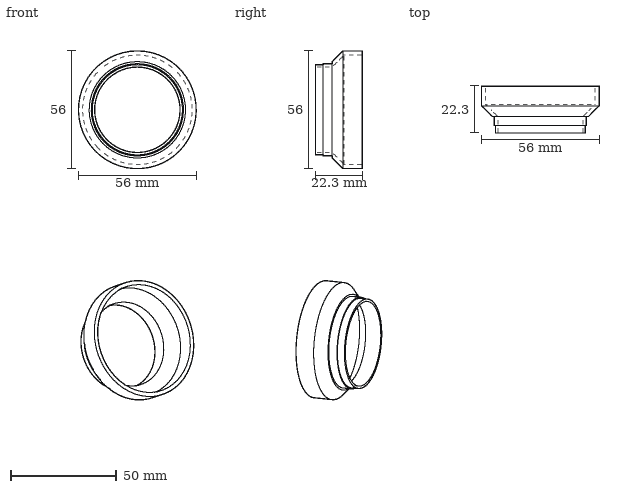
import cadquery as cq

body_diameter = 56.0
cone_front_diameter = 45.75
collar_diameter = 43.8
spigot_diameter = 42.8
bore_diameter = 40.45
socket_diameter = 52.0

total_length = 22.3
spigot_length = 3.65
collar_length = 4.25
cone_length = (body_diameter - cone_front_diameter) / 2
body_length = total_length - spigot_length - collar_length - cone_length
flare_length = (socket_diameter - bore_diameter) / 2


def cylinder(diameter, length, front_y):
    """Solid cylinder along +Y starting at front_y."""
    direction = cq.Vector(0, 1, 0)
    return cq.Workplane(cq.Solid.makeCylinder(diameter / 2, length, cq.Vector(0, front_y, 0), direction))


def cone(front_diameter, back_diameter, length, front_y):
    """Solid frustum along +Y starting at front_y."""
    direction = cq.Vector(0, 1, 0)
    start = cq.Vector(0, front_y, 0)
    return cq.Workplane(cq.Solid.makeCone(front_diameter / 2, back_diameter / 2, length, start, direction))


front_y = -total_length / 2
collar_y = front_y + spigot_length
cone_y = collar_y + collar_length
body_y = cone_y + cone_length

spigot = cylinder(spigot_diameter, spigot_length, front_y)
collar = cylinder(collar_diameter, collar_length, collar_y)
shoulder = cone(cone_front_diameter, body_diameter, cone_length, cone_y)
body = cylinder(body_diameter, body_length, body_y)
bore = cylinder(bore_diameter, total_length, front_y)

flare = cone(bore_diameter, socket_diameter, flare_length, cone_y)
socket_y = cone_y + flare_length
socket = cylinder(socket_diameter, total_length / 2 - socket_y, socket_y)

outside = spigot.union(collar).union(shoulder).union(body)
inside = bore.union(flare).union(socket)
result = outside.cut(inside)